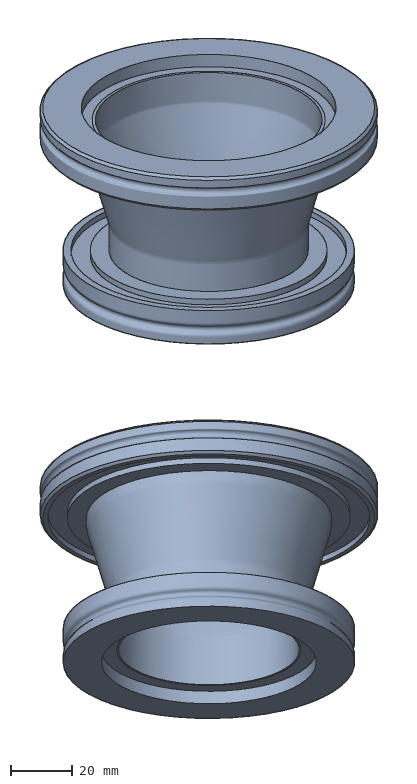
import cadquery as cq
import math

total_height = 63.0
flange_thickness = 12.0
top_flange_base = total_height - flange_thickness

counterbore_depth = 4.4
relief_depth = 2.0

top_flange_dia = 110.0
top_counterbore_dia = 83.0
top_relief_inner_dia = 92.3
top_relief_outer_dia = 105.0
top_rim_chamfer = 0.9
top_groove_center = top_flange_base + 6.8
top_groove_half_width = 1.8
top_groove_lip = 0.3
top_groove_depth = 1.3

bottom_flange_dia = 95.0
bottom_counterbore_dia = 70.1
bottom_relief_inner_dia = 77.2
bottom_relief_outer_dia = 89.9
bottom_groove_dia = 92.3
bottom_groove_center = 4.8
bottom_groove_half_width = 2.5
bottom_groove_lip = 1.4
bottom_groove_depth = (bottom_flange_dia - bottom_groove_dia) / 2

top_tube_dia = 80.0
bottom_tube_dia = 65.0
top_bore_dia = 73.9
bottom_bore_dia = 59.0
top_spigot_dia = 76.0
bottom_spigot_dia = 60.2
cone_top = 47.8
cone_bottom = 22.1
top_outer_bend = 5.0
top_inner_bend = 2.0
bottom_outer_bend = 3.1
bottom_inner_bend = 6.0


def cylinder(diameter, base, height):
    return cq.Workplane("XY").workplane(offset=base).circle(diameter / 2).extrude(height)


def ring(outer_dia, inner_dia, base, height):
    return cylinder(outer_dia, base, height).cut(cylinder(inner_dia, base, height))


def rim_groove(flange_dia, center, half_width, lip, depth):
    """Cutter for a round-bottomed rim groove whose edges roll over in tangent arcs."""
    rim = flange_dia / 2
    overshoot = 1.1
    clearance = rim + overshoot
    sweep = 2 * math.atan(depth / half_width)
    floor_half = half_width - lip
    lip_radius = lip / math.sin(sweep)
    joint = rim - lip_radius * (1 - math.cos(sweep))
    lip_mid_x = rim - lip_radius * (1 - math.cos(sweep / 2))
    lip_mid_z = half_width - lip_radius * math.sin(sweep / 2)
    return (
        cq.Workplane("XZ")
        .moveTo(clearance, center - half_width)
        .lineTo(rim, center - half_width)
        .threePointArc((lip_mid_x, center - lip_mid_z), (joint, center - floor_half))
        .threePointArc((rim - depth, center), (joint, center + floor_half))
        .threePointArc((lip_mid_x, center + lip_mid_z), (rim, center + half_width))
        .lineTo(clearance, center + half_width)
        .close()
        .revolve(360, (0, 0, 0), (0, 1, 0))
    )


def make_top_flange():
    flange = cylinder(top_flange_dia, top_flange_base, flange_thickness)
    flange = flange.faces("<Z or >Z").edges().chamfer(top_rim_chamfer)
    flange = flange.cut(cylinder(top_spigot_dia, top_flange_base, flange_thickness))
    flange = flange.cut(cylinder(top_counterbore_dia, total_height - counterbore_depth, counterbore_depth))
    flange = flange.cut(ring(top_relief_outer_dia, top_relief_inner_dia, top_flange_base, relief_depth))
    return flange.cut(
        rim_groove(top_flange_dia, top_groove_center, top_groove_half_width, top_groove_lip, top_groove_depth)
    )


def make_bottom_flange():
    relief_base = flange_thickness - relief_depth
    flange = cylinder(bottom_flange_dia, 0, flange_thickness)
    flange = flange.cut(cylinder(bottom_spigot_dia, 0, flange_thickness))
    flange = flange.cut(cylinder(bottom_counterbore_dia, 0, counterbore_depth))
    flange = flange.cut(ring(bottom_relief_outer_dia, bottom_relief_inner_dia, relief_base, relief_depth))
    return flange.cut(
        rim_groove(
            bottom_flange_dia,
            bottom_groove_center,
            bottom_groove_half_width,
            bottom_groove_lip,
            bottom_groove_depth,
        )
    )


def tapered_body(bottom_dia, top_dia, bottom_bend, top_bend, base, top):
    """Solid of two cylinders joined by a cone, with both bends rounded."""
    body = (
        cq.Workplane("XZ")
        .moveTo(0, base)
        .lineTo(bottom_dia / 2, base)
        .lineTo(bottom_dia / 2, cone_bottom)
        .lineTo(top_dia / 2, cone_top)
        .lineTo(top_dia / 2, top)
        .lineTo(0, top)
        .close()
        .revolve(360, (0, 0, 0), (0, 1, 0))
    )
    half_window = 1.1
    for height, bend in ((cone_bottom, bottom_bend), (cone_top, top_bend)):
        window = cq.selectors.BoxSelector(
            (-top_dia, -top_dia, height - half_window),
            (top_dia, top_dia, height + half_window),
            boundingbox=True,
        )
        body = body.edges(window).fillet(bend)
    return body


def make_reducer():
    spigot_base = counterbore_depth
    spigot_top = total_height - counterbore_depth
    spigot_height = flange_thickness - counterbore_depth
    tube = tapered_body(
        bottom_tube_dia, top_tube_dia, bottom_outer_bend, top_outer_bend, flange_thickness, top_flange_base
    )
    tube = tube.union(cylinder(bottom_spigot_dia, spigot_base, spigot_height))
    tube = tube.union(cylinder(top_spigot_dia, top_flange_base, spigot_height))
    bore = tapered_body(
        bottom_bore_dia, top_bore_dia, bottom_inner_bend, top_inner_bend, spigot_base, spigot_top
    )
    return tube.cut(bore)


top_flange = make_top_flange()
bottom_flange = make_bottom_flange()
reducer = make_reducer()

result = cq.Compound.makeCompound([top_flange.solids().val(), bottom_flange.solids().val(), reducer.solids().val()])